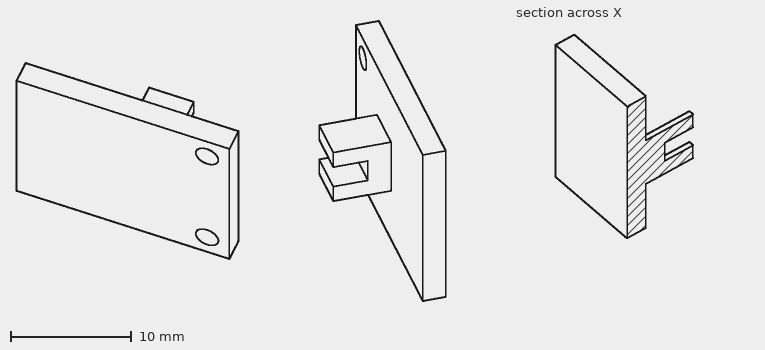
import cadquery as cq

plate_length = 19.0
plate_thickness = 2.0
plate_height = 15.0

hole_diameter = 2.0
hole_edge_distance = 2.0

lug_start = 9.0
lug_width = 4.0
lug_length = 5.0
lug_height = 5.0

slot_height = 2.0
slot_depth = 3.0

middle_height = plate_height / 2
lug_end = plate_thickness + lug_length


def make_plate():
    """Rectangular plate with two through holes."""
    plate = cq.Workplane("XY").box(plate_length, plate_thickness, plate_height, centered=False)
    hole_x = plate_length - hole_edge_distance
    for hole_z in (hole_edge_distance, plate_height - hole_edge_distance):
        hole = (
            cq.Workplane("XZ")
            .center(hole_x, hole_z)
            .circle(hole_diameter / 2)
            .extrude(-plate_thickness)
        )
        plate = plate.cut(hole)
    return plate


def make_lug():
    """Block behind the plate with a slot running through it along X."""
    block = (
        cq.Workplane("XY")
        .box(lug_width, lug_length, lug_height, centered=False)
        .translate((lug_start, plate_thickness, middle_height - lug_height / 2))
    )
    slot = (
        cq.Workplane("XY")
        .box(lug_width, slot_depth, slot_height, centered=False)
        .translate((lug_start, lug_end - slot_depth, middle_height - slot_height / 2))
    )
    return block.cut(slot)


result = make_plate().union(make_lug())